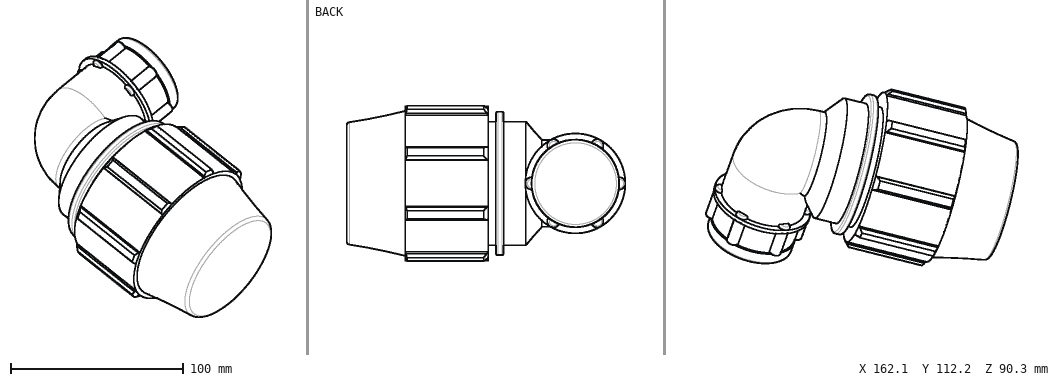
import cadquery as cq
import math


pipe_radius = 25.32
bend_radius = 15.6

cone_start = 19.4
cone_end = 28.7
barrel_radius = 36.0
flange_start = 41.65
flange_end = 46.15
flange_radius = 41.76
flange_fillet = 1.1
nut_start = 50.5
nut_end = 98.9
nut_radius = 44.9
arm_end = 133.0

nose_start_radius = 42.2
nose_middle_x = 115.4
nose_middle_radius = 38.45
nose_end_radius = 35.4
nose_fillet = 2.0

nut_rib_count = 8
nut_rib_top_radius = 47.83
nut_rib_shoulder_radius = 45.8
nut_rib_top_half_width = 2.55
nut_rib_foot_half_width = 4.1
nut_rib_embedding = 1.0
nut_rib_back_slope = 2.8
nut_rib_front_slope = 1.1

branch_end = 67.0
cap_start = 59.2
cap_radius = 25.55
cap_fillet = 1.8
groove_width = 0.6
groove_radius = 25.0
neck_radius = pipe_radius
collar_start = 39.3
collar_end = 41.8
collar_radius = 58.23 / 2

pin_count = 6
pin_start = 37.5
pin_end = 58.4
pin_radius = 3.6
pin_circle_radius = 25.48
pin_fillet = 1.1


def main_disc(start, end, radius):
    """Cylinder on the main axis between two X stations."""
    return cq.Workplane("YZ", origin=(start, 0, 0)).circle(radius).extrude(end - start)


def branch_disc(start, end, radius):
    """Cylinder on the branch axis between two Y stations."""
    return cq.Workplane("XZ", origin=(0, start, 0)).circle(radius).extrude(start - end)


def make_bend():
    """Quarter turn of the pipe section; the part of the section beyond the bend centre is cut off."""
    section_half_height = math.sqrt(pipe_radius**2 - bend_radius**2)
    return (
        cq.Workplane("XZ", origin=(0, bend_radius, 0))
        .moveTo(bend_radius, -section_half_height)
        .threePointArc((-pipe_radius, 0), (bend_radius, section_half_height))
        .close()
        .revolve(90, (bend_radius, 0, 0), (bend_radius, 1, 0))
    )


def make_main_body():
    """Turned body of the main arm: pipe, cone, barrel, nut and tapered nose."""
    body = (
        cq.Workplane("XY")
        .moveTo(bend_radius, 0)
        .lineTo(bend_radius, pipe_radius)
        .lineTo(cone_start, pipe_radius)
        .lineTo(cone_end, barrel_radius)
        .lineTo(nut_start, barrel_radius)
        .lineTo(nut_start, nut_radius)
        .lineTo(nut_end, nut_radius)
        .lineTo(nut_end, nose_start_radius)
        .threePointArc((nose_middle_x, nose_middle_radius), (arm_end, nose_end_radius))
        .lineTo(arm_end, 0)
        .close()
        .revolve(360, (0, 0, 0), (1, 0, 0))
    )
    return body.faces(">X").edges().fillet(nose_fillet)


def make_flange():
    """Thin ring with rounded rims on the barrel."""
    return main_disc(flange_start, flange_end, flange_radius).edges().fillet(flange_fillet)


def make_nut_rib():
    """One grip rib on the +Z side of the nut, with bevelled sides and sloped ends."""
    root_radius = nut_radius - nut_rib_embedding
    side_outline = [
        (nut_start, root_radius),
        (nut_start, nut_radius),
        (nut_start + nut_rib_back_slope, nut_rib_top_radius),
        (nut_end - nut_rib_front_slope, nut_rib_top_radius),
        (nut_end, nut_radius),
        (nut_end, root_radius),
    ]
    end_outline = [
        (-nut_rib_foot_half_width, root_radius),
        (-nut_rib_foot_half_width, nut_rib_shoulder_radius),
        (-nut_rib_top_half_width, nut_rib_top_radius),
        (nut_rib_top_half_width, nut_rib_top_radius),
        (nut_rib_foot_half_width, nut_rib_shoulder_radius),
        (nut_rib_foot_half_width, root_radius),
    ]
    side = cq.Workplane("XZ").polyline(side_outline).close()
    side = side.extrude(nut_rib_foot_half_width, both=True)
    end = cq.Workplane("YZ", origin=(nut_start, 0, 0)).polyline(end_outline).close()
    return side.intersect(end.extrude(nut_end - nut_start))


def make_branch():
    """Branch arm: pipe, collar, neck, narrow groove and rounded end cap."""
    pipe = branch_disc(bend_radius, collar_start, pipe_radius)
    collar = branch_disc(collar_start, collar_end, collar_radius)
    groove_start = cap_start - groove_width
    neck = branch_disc(collar_end, groove_start, neck_radius)
    groove = branch_disc(groove_start, cap_start, groove_radius)
    cap = branch_disc(cap_start, branch_end, cap_radius).faces(">Y").edges().fillet(cap_fillet)
    return pipe.union(collar).union(neck).union(groove).union(cap)


def make_pin():
    """One round-ended pin on the -X side of the branch."""
    pin = branch_disc(pin_start, pin_end, pin_radius)
    pin = pin.faces("<Y or >Y").edges().fillet(pin_fillet)
    return pin.translate((-pin_circle_radius, 0, 0))


result = make_bend().union(make_main_body()).union(make_flange()).union(make_branch())

nut_rib = make_nut_rib()
nut_rib_pitch = 360 / nut_rib_count
for index in range(nut_rib_count):
    angle = (index + 0.5) * nut_rib_pitch
    result = result.union(nut_rib.rotate((0, 0, 0), (1, 0, 0), angle))

pin = make_pin()
for index in range(pin_count):
    angle = index * 360 / pin_count
    result = result.union(pin.rotate((0, 0, 0), (0, 1, 0), angle))